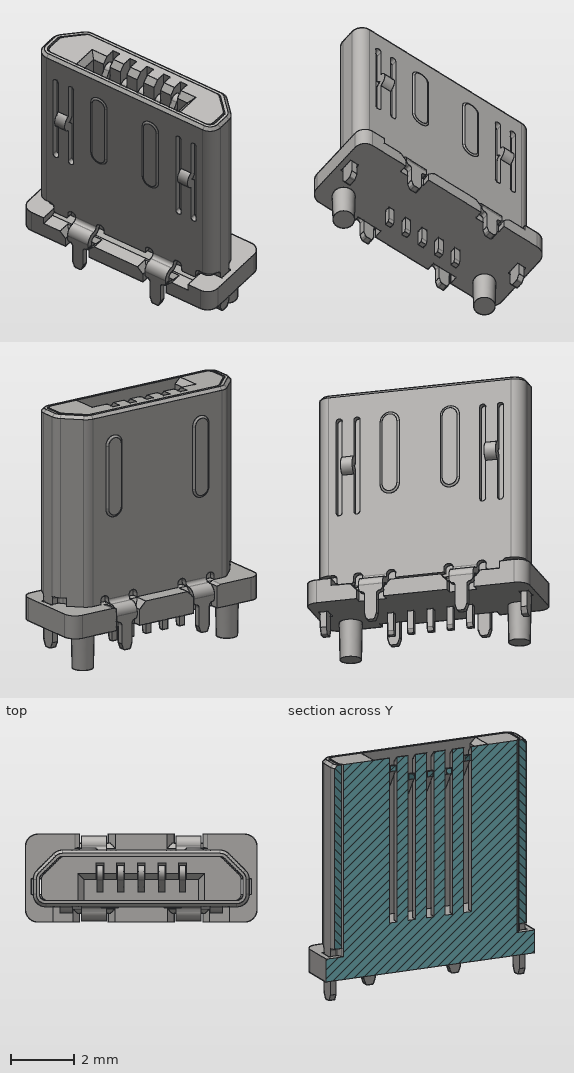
import cadquery as cq
import math


top_z = 7.14
post_depth = 1.24
leg_depth = 0.73
beyond = 0.84
margin = 0.08

base_width = 7.35
base_depth = 2.8
base_height = 0.77
base_corner = 0.4
post_x = 2.8
post_y = 0.75
post_root_diameter = 0.74
post_tip_diameter = 0.69
ledge_half_width = 2.8
ledge_inner_z = 0.68
ledge_z = 0.54

sheet = 0.2
shell_half_width = 3.43
shell_front = -0.91
shell_rear = 0.89
shell_corner = 0.4
shell_chamfer = 0.76
rim_chamfer = 0.1
relief_z = 1.04
relief_round = 0.13
side_notch_round = 0.08
tongue_round = 0.075

solder_tab_x = 1.5
solder_tab_width = 0.8
solder_stem_width = 0.4
shoulder_z = 0.23
shoulder_round = 0.11
bend_start_z = 0.905
bend_in_radius = 0.13
bend_out_radius = 0.32
notch_width = 0.3

front_tongue_inner_x = solder_tab_x + solder_tab_width / 2 + notch_width
front_tongue_outer_x = 2.75
front_tongue_z = 0.7

side_tab_front = shell_front + shell_corner
side_tab_rear = -0.03
side_notch_rear = 0.38
tip_height = 0.22
side_tip_inset = 0.11
side_tip_round = 0.03
solder_tip_inset = 0.075
solder_tip_round = 0.07

slot_width = 0.2
slot_inner_x = 2.09
slot_outer_x = 2.67
slot_top_z = 6.29
slot_bottom_z = 3.03
bump_z = 4.69
bump_height = 0.61
bump_rise = 0.2
bump_hollow = 0.13
front_pad_x = 1.0
rear_pad_x = 1.685
pad_top_z = 6.35
pad_bottom_z = 3.62
pad_width = 0.64
pad_border = 0.075
front_pad_rise = 0.03
rear_pad_rise = 0.06

core_side_gap = 0.06
core_top_z = top_z
cavity_half_width = 1.82
cavity_rear = -0.04
cavity_floor_z = 1.68
mouth_chamfer = 0.19

tab_slot_clearance = 0.06
tab_slot_end_clearance = 0.01
pocket_width = 0.905
front_pocket_wall = 1.12
rear_pocket_wall = 1.11
front_pocket_flare_z = 0.33
front_pocket_slope_z = 0.39
rear_pocket_outer_flare = 0.15
rear_pocket_outer_flare_z = 0.73
rear_pocket_inner_flare = 0.235
rear_pocket_slope_z = 0.6

contact_count = 5
contact_pitch = 0.65
contact_width = 0.2
contact_front = 0.2
contact_rear = 0.39
contact_thickness = contact_rear - contact_front
outer_contact_top_z = 6.87
inner_contact_top_z = 6.52
contact_crest_radius = 0.25
contact_hook_height = 0.67
contact_end_y = -0.435
contact_tip_chamfer = 0.04
contact_tip_length = 0.13
groove_width = 0.25
groove_rear = 0.49
groove_floor_rise = 0.08


def box(x0, x1, y0, y1, z0, z1):
    return cq.Workplane("XY").box(x1 - x0, y1 - y0, z1 - z0, centered=False).translate((x0, y0, z0))


def prism_x(points, x0, x1):
    """Prism along X from (y, z) points."""
    return cq.Workplane("YZ").polyline(points).close().extrude(x1 - x0).translate((x0, 0, 0))


def prism_y(points, y0, y1):
    """Prism along Y from (x, z) points."""
    return cq.Workplane("XZ").polyline(points).close().extrude(y0 - y1).translate((0, y0, 0))


def mirrored(body):
    """The body together with its mirror image across X = 0."""
    return body.union(body.mirror("YZ"))


def d_prism(half_width, front, rear, chamfer, corner, z0, z1):
    """Prism along Z with rounded front corners and rounded, chamfered rear corners."""
    outline = [
        (-half_width, front),
        (half_width, front),
        (half_width, rear - chamfer),
        (half_width - chamfer, rear),
        (chamfer - half_width, rear),
        (-half_width, rear - chamfer),
    ]
    prism = cq.Workplane("XY").workplane(offset=z0).polyline(outline).close().extrude(z1 - z0)
    return prism.edges("|Z").fillet(corner)


def contact_x(i):
    return (i - (contact_count - 1) / 2) * contact_pitch


inner_chamfer = shell_chamfer - sheet * (2 - math.sqrt(2))
inner_half_width = shell_half_width - sheet
inner_front = shell_front + sheet
inner_rear = shell_rear - sheet
inner_corner = shell_corner - sheet


def shell_tube():
    outer = d_prism(
        shell_half_width, shell_front, shell_rear, shell_chamfer, shell_corner, base_height, top_z
    )
    outer = outer.faces(">Z").chamfer(rim_chamfer)
    inner = d_prism(inner_half_width, inner_front, inner_rear, inner_chamfer, inner_corner, 0, top_z + beyond)
    return outer.cut(inner)


def corner_relief():
    """Opening below the front corner, from the side tab to the front tongue."""
    x0 = -shell_half_width - margin
    y0 = shell_front - margin
    relief = box(x0, -front_tongue_outer_x, y0, side_tab_front, 0, relief_z)
    rounded = relief.edges(">X and >Z").fillet(relief_round)
    return rounded.edges(">Y and |X").edges(">Z").fillet(relief_round)


def side_notch():
    """Opening behind the side tab, ending square to the slanted wall."""
    outside_x = -shell_half_width - beyond
    inside_x = sheet - inner_half_width
    diagonal_sum = shell_half_width + shell_rear - shell_chamfer
    end_sum = 2 * side_notch_rear - diagonal_sum
    outline = [
        (outside_x, side_tab_rear),
        (inside_x, side_tab_rear),
        (inside_x, end_sum - inside_x),
        (outside_x, end_sum - outside_x),
    ]
    notch = cq.Workplane("XY").polyline(outline).close().extrude(relief_z)
    return notch.faces(">Z").edges("|X").fillet(side_notch_round)


def tab_notches(front, rear):
    """The gap of the solder tab and the two rounded notches beside it, through one wall."""
    half_tab = solder_tab_width / 2
    cut = box(-half_tab, half_tab, front, rear, 0, bend_start_z)
    for x0 in (-half_tab - notch_width, half_tab):
        notch = box(x0, x0 + notch_width, front, rear, 0, relief_z)
        cut = cut.union(notch.edges("|Y and >Z").fillet(relief_round))
    return cut.translate((-solder_tab_x, 0, 0))


def tapered_strip(width, root_z, plane, tip_inset, tip_round):
    """Vertical strip one sheet thick, drawn on the given plane, with a tapered and rounded lower tip."""
    half = width / 2
    outline = [
        (-half, root_z),
        (-half, tip_height - leg_depth),
        (tip_inset - half, -leg_depth),
        (half - tip_inset, -leg_depth),
        (half, tip_height - leg_depth),
        (half, root_z),
    ]
    strip = cq.Workplane(plane).polyline(outline).close().extrude(sheet)
    through_sheet = "|Y" if plane == "XZ" else "|X"
    return strip.faces("<Z").edges(through_sheet).fillet(tip_round)


def solder_tab():
    """Solder tab of the front wall: an S-bend outward, a wide shoulder and a narrow stem."""
    bend_y = shell_front - bend_in_radius
    outer_y = bend_y - bend_out_radius
    bend_out_z = bend_start_z - bend_in_radius - bend_out_radius
    inner_bend_in = bend_in_radius + sheet
    inner_bend_out = bend_out_radius - sheet
    diagonal = math.sqrt(0.5)
    bend = (
        cq.Workplane("YZ")
        .moveTo(shell_front, bend_start_z)
        .threePointArc(
            (bend_y + bend_in_radius * diagonal, bend_start_z - bend_in_radius * diagonal),
            (bend_y, bend_start_z - bend_in_radius),
        )
        .threePointArc(
            (bend_y - bend_out_radius * diagonal, bend_out_z + bend_out_radius * diagonal),
            (outer_y, bend_out_z),
        )
        .lineTo(outer_y, shoulder_z)
        .lineTo(outer_y + sheet, shoulder_z)
        .lineTo(outer_y + sheet, bend_out_z)
        .threePointArc(
            (bend_y - inner_bend_out * diagonal, bend_out_z + inner_bend_out * diagonal),
            (bend_y, bend_out_z + inner_bend_out),
        )
        .threePointArc(
            (bend_y + inner_bend_in * diagonal, bend_start_z - inner_bend_in * diagonal),
            (inner_front, bend_start_z),
        )
        .close()
        .extrude(solder_tab_width / 2, both=True)
    )
    bend = bend.faces("<Z").edges("|Y").fillet(shoulder_round)
    stem = tapered_strip(solder_stem_width, shoulder_z, "XZ", solder_tip_inset, solder_tip_round)
    stem = stem.translate((0, outer_y + sheet, 0))
    tab = bend.union(stem)
    half_span = (solder_stem_width + margin) / 2
    stem_roots = cq.selectors.BoxSelector(
        (-half_span, outer_y - margin, shoulder_z - margin),
        (half_span, outer_y + sheet + margin, shoulder_z + margin),
    )
    tab = tab.edges("|Y").edges(stem_roots).fillet(shoulder_round)
    return tab.translate((-solder_tab_x, 0, 0))


def side_tab():
    tab = tapered_strip(side_tab_rear - side_tab_front, relief_z, "YZ", side_tip_inset, side_tip_round)
    return tab.translate((-shell_half_width, (side_tab_front + side_tab_rear) / 2, 0))


def front_tongue():
    x0 = -front_tongue_outer_x
    x1 = -front_tongue_inner_x
    tongue = box(x0, x1, shell_front, inner_front, front_tongue_z, base_height + margin)
    return tongue.edges("|Y and <Z").fillet(tongue_round)


def spring():
    """Slots beside a spring, the rounded bump on the spring, and the V-shaped hollow behind the bump."""
    slots = (
        cq.Workplane("XZ")
        .pushPoints([(-x, (slot_top_z + slot_bottom_z) / 2) for x in (slot_inner_x, slot_outer_x)])
        .slot2D(slot_top_z - slot_bottom_z, slot_width, 90)
        .extrude(sheet)
        .translate((0, inner_front, 0))
    )
    half_chord = bump_height / 2
    outer_radius = (half_chord**2 + bump_rise**2) / (2 * bump_rise)
    bump_axis_y = shell_front - bump_rise + outer_radius
    spring_x0 = slot_width / 2 - slot_outer_x
    spring_x1 = -slot_width / 2 - slot_inner_x

    rod = cq.Workplane("YZ").center(bump_axis_y, bump_z).circle(outer_radius).extrude(spring_x1 - spring_x0)
    outside = box(spring_x0, spring_x1, shell_front - beyond, inner_front, 0, top_z)
    bump = rod.translate((spring_x0, 0, 0)).intersect(outside)
    hollow = [
        (inner_front, bump_z - bump_hollow),
        (inner_front - bump_hollow, bump_z),
        (inner_front, bump_z + bump_hollow),
    ]
    return slots, bump, prism_x(hollow, spring_x0, spring_x1)


def pad(x, rise):
    """Raised pad with slanted borders, on a wall facing -Y at Y = 0."""
    length = pad_top_z - pad_bottom_z
    slant = math.degrees(math.atan(pad_border / rise))
    middle_z = (pad_top_z + pad_bottom_z) / 2
    outline = cq.Workplane("XZ").center(-x, middle_z).slot2D(length, pad_width, 90)
    return outline.extrude(rise, taper=slant)


def make_shell():
    walls = shell_tube()
    tab = solder_tab()
    cuts = corner_relief().union(side_notch())
    cuts = cuts.union(tab_notches(shell_front - margin, inner_front + margin))
    cuts = cuts.union(tab_notches(inner_rear - margin, shell_rear + margin))
    walls = walls.cut(mirrored(cuts))

    slots, bump, hollow = spring()
    walls = walls.cut(mirrored(slots)).union(mirrored(bump)).cut(mirrored(hollow))

    rear_tab = tab.mirror("XZ").translate((0, shell_front + shell_rear, 0))
    for part in (tab, rear_tab, side_tab(), front_tongue()):
        walls = walls.union(mirrored(part))
    front_pad = pad(front_pad_x, front_pad_rise).translate((0, shell_front, 0))
    rear_pad = pad(rear_pad_x, rear_pad_rise).mirror("XZ").translate((0, shell_rear, 0))
    return walls.union(mirrored(front_pad)).union(mirrored(rear_pad))


def contact(hook_top_z):
    """Contact with a straight leg whose top folds forward and hangs into the cavity."""
    crest_z = hook_top_z - contact_crest_radius
    crest_y = contact_rear - contact_crest_radius
    inner_radius = contact_crest_radius - contact_thickness
    end_z = hook_top_z - contact_hook_height
    slant = math.atan2(crest_y - contact_end_y - contact_crest_radius, crest_z - end_z)
    across_y = math.cos(slant)
    across_z = math.sin(slant)
    profile = (
        cq.Workplane("YZ")
        .moveTo(contact_front + contact_tip_chamfer, -leg_depth)
        .lineTo(contact_rear, -leg_depth)
        .lineTo(contact_rear, crest_z)
        .threePointArc(
            (crest_y, hook_top_z),
            (crest_y - contact_crest_radius * across_y, crest_z + contact_crest_radius * across_z),
        )
        .lineTo(contact_end_y, end_z)
        .lineTo(contact_end_y + contact_thickness * across_y, end_z - contact_thickness * across_z)
        .lineTo(crest_y - inner_radius * across_y, crest_z + inner_radius * across_z)
        .threePointArc((crest_y, crest_z + inner_radius), (contact_front, crest_z))
        .lineTo(contact_front, contact_tip_length - leg_depth)
        .close()
    )
    return profile.extrude(contact_width / 2, both=True)


def make_contacts():
    """Row of contacts; the two at the ends reach higher than the others."""
    last = contact_count - 1
    row = []
    for i in range(contact_count):
        hook_top_z = outer_contact_top_z if i in (0, last) else inner_contact_top_z
        row.append(contact(hook_top_z).translate((contact_x(i), 0, 0)))
    return row


def base_plate():
    plate = cq.Workplane("XY").box(base_width, base_depth, base_height, centered=(True, True, False))
    plate = plate.edges("|Z").fillet(base_corner)
    back = -base_depth / 2
    ledge = [
        (inner_front, ledge_inner_z),
        (inner_front, base_height + margin),
        (back, base_height + margin),
        (back, ledge_z),
        (shell_front, ledge_z),
    ]
    return plate.cut(prism_x(ledge, -ledge_half_width, ledge_half_width))


def post():
    root = cq.Workplane("XY").circle(post_root_diameter / 2)
    cone = root.workplane(offset=-post_depth).circle(post_tip_diameter / 2).loft()
    return cone.translate((-post_x, post_y, 0))


def side_tab_slot():
    """Slot through the base for the side tab."""
    x0 = -shell_half_width - tab_slot_clearance
    x1 = core_side_gap - inner_half_width
    y0 = side_tab_front - tab_slot_end_clearance
    y1 = side_tab_rear + tab_slot_end_clearance
    return box(x0, x1, y0, y1, -margin, base_height + margin)


def tab_pocket(pocket_top_z, outer_flare, outer_flare_z, inner_flare, inner_flare_z, wall, slope_z):
    """Pocket for a front solder tab: flared sides and an inner wall that slopes back at 45 degrees."""
    x0 = -solder_tab_x - pocket_width / 2
    x1 = -solder_tab_x + pocket_width / 2
    sides = [
        (x0, -margin),
        (x0, outer_flare_z),
        (x0 - outer_flare, pocket_top_z),
        (x1 + inner_flare, pocket_top_z),
        (x1, inner_flare_z),
        (x1, -margin),
    ]
    depth = [
        (-base_depth, -margin),
        (-wall, -margin),
        (-wall, slope_z),
        (pocket_top_z - slope_z - wall, pocket_top_z),
        (-base_depth, pocket_top_z),
    ]
    return prism_y(sides, -base_depth, 0).intersect(prism_x(depth, -base_width, base_width))


def core():
    """Plug-side block inside the shell, with the plug cavity open towards the front wall."""
    half_width = inner_half_width - core_side_gap
    block = d_prism(half_width, inner_front, inner_rear, inner_chamfer, inner_corner, 0, core_top_z)
    front = inner_front - margin
    cavity = box(-cavity_half_width, cavity_half_width, front, cavity_rear, cavity_floor_z, top_z)
    mouth_z = core_top_z - mouth_chamfer
    flare = [
        (-cavity_half_width, mouth_z),
        (cavity_half_width, mouth_z),
        (cavity_half_width + mouth_chamfer, core_top_z),
        (-cavity_half_width - mouth_chamfer, core_top_z),
    ]
    flare_depth = [
        (front, mouth_z),
        (cavity_rear, mouth_z),
        (cavity_rear + mouth_chamfer, core_top_z),
        (front, core_top_z),
    ]
    mouth = prism_y(flare, front, inner_rear).intersect(prism_x(flare_depth, -base_width, base_width))
    return block.cut(cavity).cut(mouth)


def groove():
    """Groove behind the cavity in which a contact moves; its floor rises behind the contact."""
    profile = [
        (cavity_rear - margin, cavity_floor_z),
        (contact_rear, cavity_floor_z),
        (groove_rear, cavity_floor_z + groove_floor_rise),
        (groove_rear, core_top_z),
        (cavity_rear - margin, core_top_z),
    ]
    return prism_x(profile, -groove_width / 2, groove_width / 2)


def make_housing(shell, contacts):
    body = base_plate().union(mirrored(post())).union(core())
    front_flare = ledge_z - front_pocket_flare_z
    front_pocket = tab_pocket(
        pocket_top_z=ledge_z,
        outer_flare=front_flare,
        outer_flare_z=front_pocket_flare_z,
        inner_flare=front_flare,
        inner_flare_z=front_pocket_flare_z,
        wall=front_pocket_wall,
        slope_z=front_pocket_slope_z,
    )
    rear_pocket = tab_pocket(
        pocket_top_z=base_height,
        outer_flare=rear_pocket_outer_flare,
        outer_flare_z=rear_pocket_outer_flare_z,
        inner_flare=rear_pocket_inner_flare,
        inner_flare_z=base_height - rear_pocket_inner_flare,
        wall=rear_pocket_wall,
        slope_z=rear_pocket_slope_z,
    ).mirror("XZ")
    body = body.cut(mirrored(front_pocket.union(rear_pocket).union(side_tab_slot())))
    for i in range(contact_count):
        body = body.cut(groove().translate((contact_x(i), 0, 0)))
    for part in [shell, *contacts]:
        body = body.cut(part)
    return body


shell = make_shell()
contacts = make_contacts()
housing = make_housing(shell, contacts)

result = cq.Compound.makeCompound([housing.val(), shell.val(), *[c.val() for c in contacts]])